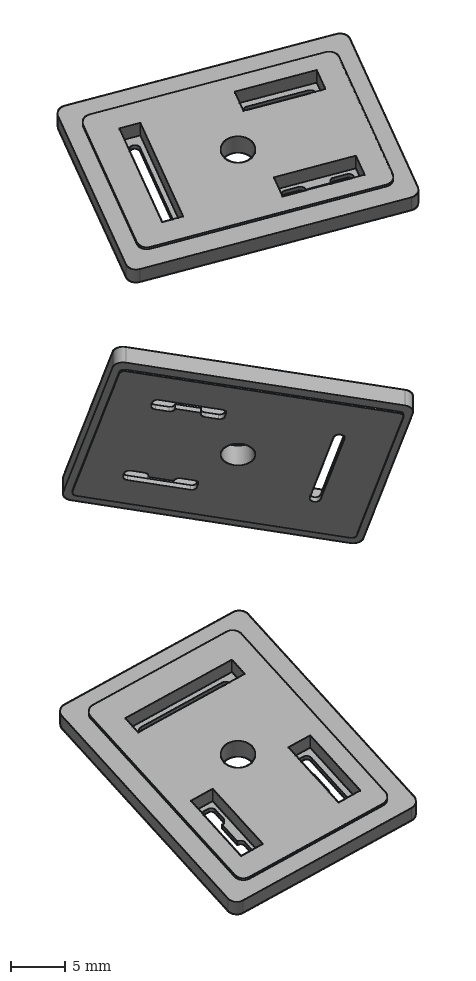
import cadquery as cq

base_length_x, base_length_y, base_thickness = 18.98, 27.0, 0.2
body_length_x, body_length_y, body_thickness = 21.0, 28.5, 1.85
pad_length_x, pad_length_y, pad_thickness = 17.01, 25.0, 0.28
corner_radius = 1.0
base_corner_radius = 0.5
total_height = base_thickness + body_thickness + pad_thickness

hole_diameter = 3.2
pocket_depth = 1.8

side_pocket_width, side_pocket_length = 2.45, 8.0
side_pocket_x, side_pocket_y = 5.5, 6.0
side_slot_width, side_slot_length = 1.42, 6.98
side_slot_x = 5.4
slot_corner_radius = 0.48
tab_width = 2.45
tab_reach = 0.5

end_pocket_length, end_pocket_width = 12.03, 2.05
end_pocket_y = -8.46
end_slot_length, end_slot_width = 10.2, 1.03


def layer(length_x, length_y, thickness, bottom):
    """Rectangular plate centred on the Z axis."""
    return (
        cq.Workplane("XY")
        .workplane(offset=bottom)
        .rect(length_x, length_y)
        .extrude(thickness)
    )


def pocket(length_x, length_y, x, y):
    """Rectangular cutter reaching down from the top face."""
    return layer(length_x, length_y, pocket_depth, total_height - pocket_depth).translate((x, y, 0))


def side_slot(side):
    """Through slot made of two rounded lobes joined past a tab on the inner side."""
    lobe_length = (side_slot_length - tab_width) / 2
    lobe_offset = (tab_width + lobe_length) / 2
    neck_width = side_slot_width - tab_reach
    outer_edge = side_slot_x + side_slot_width / 2
    neck_x = outer_edge - neck_width / 2
    neck_length = side_slot_length - 2 * slot_corner_radius

    slot = layer(neck_width, neck_length, total_height, 0)
    slot = slot.translate((side * neck_x, side_pocket_y, 0))
    for end in (-1, 1):
        lobe = layer(side_slot_width, lobe_length, total_height, 0).edges("|Z").fillet(slot_corner_radius)
        slot = slot.union(lobe.translate((side * side_slot_x, side_pocket_y + end * lobe_offset, 0)))
    return slot


base = layer(base_length_x, base_length_y, base_thickness, 0)
base = base.edges("|Z").fillet(base_corner_radius)
body = layer(body_length_x, body_length_y, body_thickness, base_thickness)
body = body.edges("|Z").fillet(corner_radius)
pad = layer(pad_length_x, pad_length_y, pad_thickness, base_thickness + body_thickness)
pad = pad.edges("|Z").fillet(corner_radius)
result = base.union(body).union(pad)

result = result.cut(cq.Workplane("XY").circle(hole_diameter / 2).extrude(total_height))

for side in (-1, 1):
    result = result.cut(pocket(side_pocket_width, side_pocket_length, side * side_pocket_x, side_pocket_y))
    result = result.cut(side_slot(side))

result = result.cut(pocket(end_pocket_length, end_pocket_width, 0, end_pocket_y))
end_slot = (
    cq.Workplane("XY")
    .center(0, end_pocket_y)
    .slot2D(end_slot_length, end_slot_width)
    .extrude(total_height)
)
result = result.cut(end_slot)